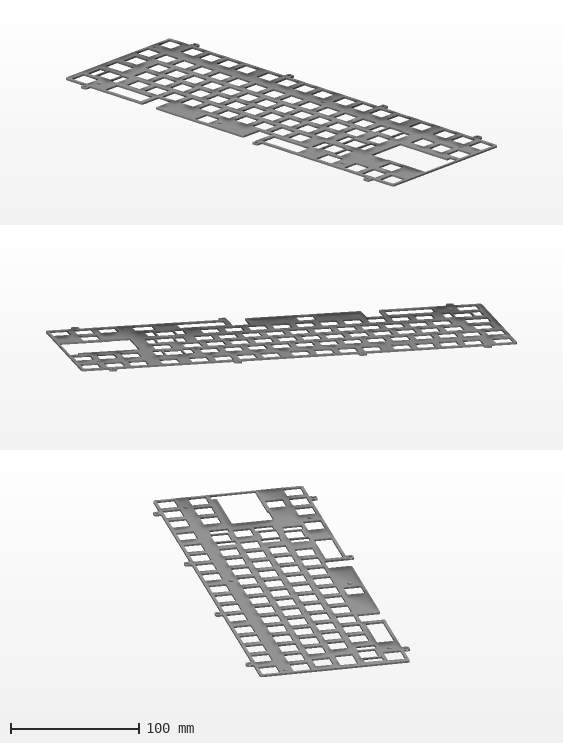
import cadquery as cq

plate_length = 348.81
plate_thickness = 1.5
overall_depth = 131.2
plate_corner_radius = 2.0
notch_corner_radius = 1.0

unit = 19.05
group_gap = 25.0
switch_size = 14.1
main_block_units = 14.0
cluster_columns = 3
close_row_gaps = 4

columns_span = main_block_units * unit + group_gap + (cluster_columns - 1) * unit
rows_span = group_gap + close_row_gaps * unit
edge_margin = (plate_length - columns_span) / 2
plate_depth = rows_span + 2 * edge_margin

row_function = rows_span / 2
row_digits = row_function - group_gap
row_tab = row_digits - unit
row_caps = row_tab - unit
row_shift = row_caps - unit
row_bottom = row_shift - unit


def column(units):
    """X position in the main block, counted in key units from the first switch."""
    return units * unit - columns_span / 2


cluster_xs = [column(main_block_units) + group_gap + i * unit for i in range(cluster_columns)]

function_keys = [0, 1.25, 2.25, 3.25, 4.25, 5.5, 6.5, 7.5, 8.5, 9.75, 10.75, 11.75, 12.75, 14]
digit_keys = list(range(13))
backspace_key = 13.5
tab_keys = [0.25] + [1.5 + i for i in range(12)] + [13.75]
caps_keys = [1.75 + i for i in range(11)]
enter_key = 13.375
left_shift_key = 0.625
shift_keys = [2.25 + i for i in range(10)]
right_shift_key = 13.125
space_key = 7.0

wide_openings = [
    (row_caps, 0.125, 0.375),
    (row_bottom, 0.125, 0.25),
    (row_bottom, 2.0, 3.25),
    (row_bottom, 10.75, 12.0),
    (row_bottom, 13.75, 13.875),
]

stabilizer_spacing = 23.8
stabilizer_width = 7.1
stabilizer_height = 15.1
stabilizer_shift = 1.5
stabilized_keys = [
    (backspace_key, row_digits, -1),
    (enter_key, row_caps, 1),
    (left_shift_key, row_shift, -1),
    (right_shift_key, row_shift, -1),
]

notch_inner = 46.5
notch_outer = 60.6
notch_rise = 9.2

opening_left = cluster_xs[0] - 10.7
opening_right = cluster_xs[-1] + 7.9
opening_top = row_tab + 4.5
opening_bottom = row_shift + 9.0
raised_left = 165.5
raised_top = row_tab + 8.65
lowered_right = 133.0
lowered_step = 1.0

screw_diameter = 2.2
screw_head_diameter = 4.6
screw_head_angle = 90
rear_screw_y = (row_function + row_digits) / 2
rear_screw_xs = [-168.6, 9.0, 155.3]
front_screw_xs = [-146.6, -18.0, 112.9]

tab_width = 6.0
tab_reach = (overall_depth - plate_depth) / 2
tab_corner_radius = 1.5
tab_slot_width = 2.0
tab_slot_length = 3.5
tab_slot_offset = 3.0
tab_chamfer = 1.0
tab_chamfer_start = 2.2
tab_chamfer_end = 3.6

rear_tabs = [(-150, -1), (-50, 0), (50, 0), (150, 1)]
front_tabs = [(-150, -1), (32, -1), (150, 1)]


def block_between(x_min, x_max, y_min, y_max):
    """Full-thickness block between two X and two Y limits."""
    block = cq.Workplane("XY").box(x_max - x_min, y_max - y_min, plate_thickness, centered=False)
    return block.translate((x_min, y_min, 0))


def rectangles_at(centres, width, height):
    """Full-thickness rectangular blocks of one size at the given centres."""
    return cq.Workplane("XY").pushPoints(centres).rect(width, height).extrude(plate_thickness)


def make_plate():
    """Rounded plate blank with the two space bar stabilizer notches."""
    front_edge = -plate_depth / 2
    plate = cq.Workplane("XY").rect(plate_length, plate_depth).extrude(plate_thickness)
    plate = plate.edges("|Z").fillet(plate_corner_radius)
    for side in (-1, 1):
        x_limits = sorted(column(space_key) + side * reach for reach in (notch_inner, notch_outer))
        plate = plate.cut(block_between(*x_limits, front_edge, row_bottom + notch_rise))
    return plate


def round_notch_mouths(plate):
    """Round the sharp corners where the notches meet the front edge, except beside a tab."""
    front_edge = -plate_depth / 2
    for reach in (-notch_outer, -notch_inner, notch_inner):
        corner = (column(space_key) + reach, front_edge, plate_thickness / 2)
        plate = plate.edges(cq.selectors.NearestToPointSelector(corner)).fillet(notch_corner_radius)
    return plate


def chamfer_tab(tab, side):
    """Chamfer a short stretch of the top edge on one side of a tab."""
    outer_x = side * tab_width / 2
    profile = [
        (outer_x, plate_thickness),
        (outer_x - side * tab_chamfer, plate_thickness),
        (outer_x, plate_thickness - tab_chamfer),
    ]
    wedge = cq.Workplane("XZ", origin=(0, tab_chamfer_start, 0)).polyline(profile).close()
    return tab.cut(wedge.extrude(tab_chamfer_start - tab_chamfer_end))


def make_tab(chamfered_side):
    """Slotted tab pointing to +Y, with its root on the X axis."""
    tab = cq.Workplane("XY").rect(tab_width, 2 * tab_reach).extrude(plate_thickness)
    tab = tab.edges("|Z and >Y").fillet(tab_corner_radius)
    tab = tab.intersect(block_between(-tab_width / 2, tab_width / 2, 0, tab_reach))
    slot = cq.Workplane("XY").center(0, tab_slot_offset)
    tab = tab.cut(slot.slot2D(tab_slot_length, tab_slot_width, 90).extrude(plate_thickness))
    if chamfered_side:
        tab = chamfer_tab(tab, chamfered_side)
    return tab


def add_tabs(plate):
    for x, side in rear_tabs:
        plate = plate.union(make_tab(side).translate((x, plate_depth / 2, 0)))
    for x, side in front_tabs:
        plate = plate.union(make_tab(side).mirror("XZ").translate((x, -plate_depth / 2, 0)))
    return plate


def switch_centres():
    main_rows = [
        (row_function, function_keys),
        (row_digits, digit_keys + [backspace_key]),
        (row_tab, tab_keys),
        (row_caps, caps_keys + [enter_key]),
        (row_shift, [left_shift_key] + shift_keys + [right_shift_key]),
        (row_bottom, [space_key]),
    ]
    centres = [(column(units), y) for y, keys in main_rows for units in keys]
    centres += [(x, y) for y in (row_function, row_digits, row_bottom) for x in cluster_xs]
    centres.append((cluster_xs[1], row_shift))
    return centres


def cut_switches(plate):
    plate = plate.cut(rectangles_at(switch_centres(), switch_size, switch_size))
    for y, first, last in wide_openings:
        centre = (column((first + last) / 2), y)
        width = switch_size + (last - first) * unit
        plate = plate.cut(rectangles_at([centre], width, switch_size))
    return plate


def cut_stabilizers(plate):
    centres = []
    for units, y, direction in stabilized_keys:
        for side in (-1, 1):
            x = column(units) + side * stabilizer_spacing / 2
            centres.append((x, y + direction * stabilizer_shift))
    return plate.cut(rectangles_at(centres, stabilizer_width, stabilizer_height))


def cut_stepped_opening(plate):
    main_bottom = opening_bottom + lowered_step
    plate = plate.cut(block_between(opening_left, opening_right, main_bottom, opening_top))
    plate = plate.cut(block_between(opening_left, lowered_right, opening_bottom, opening_top))
    return plate.cut(block_between(raised_left, opening_right, main_bottom, raised_top))


def cut_screw_holes(plate):
    centres = [(x, rear_screw_y) for x in rear_screw_xs]
    centres += [(x, row_bottom) for x in front_screw_xs]
    top = plate.faces(">Z").workplane(origin=(0, 0, plate_thickness)).pushPoints(centres)
    return top.cskHole(screw_diameter, screw_head_diameter, screw_head_angle)


result = make_plate()
result = round_notch_mouths(result)
result = add_tabs(result)
result = cut_switches(result)
result = cut_stabilizers(result)
result = cut_stepped_opening(result)
result = cut_screw_holes(result)